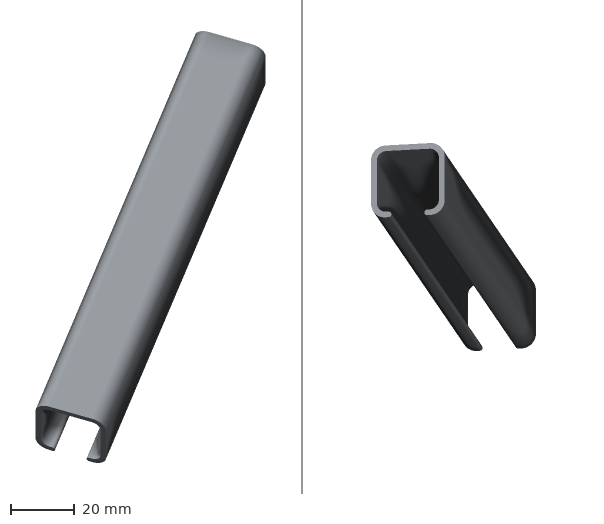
import cadquery as cq

length = 152.4
width = 23.5
height = 23.5

wall = 1.8
corner_radius = 4.5
slot_width = 10.5
inner_radius = 3.0
lip_flat = 0.03
lip_radius = (wall - lip_flat) / 2


def rounded_bar(bar_width, bar_height, radius):
    """Full-length bar along Y with its four long edges rounded."""
    return cq.Workplane("XY").box(bar_width, length, bar_height).edges("|Y").fillet(radius)


outer = rounded_bar(width, height, corner_radius)
inner = rounded_bar(width - 2 * wall, height - 2 * wall, inner_radius)
tube = outer.cut(inner)

slot = cq.Workplane("XY").box(slot_width, length, 2 * wall).translate((0, 0, -height / 2))
rail = tube.cut(slot)

half_slot = slot_width / 2
edge_margin = 0.2
lip_zone = cq.selectors.BoxSelector(
    (-half_slot - edge_margin, -length, -height / 2 - edge_margin),
    (half_slot + edge_margin, length, -height / 2 + wall + edge_margin),
)
result = rail.edges("|Y").edges(lip_zone).fillet(lip_radius)